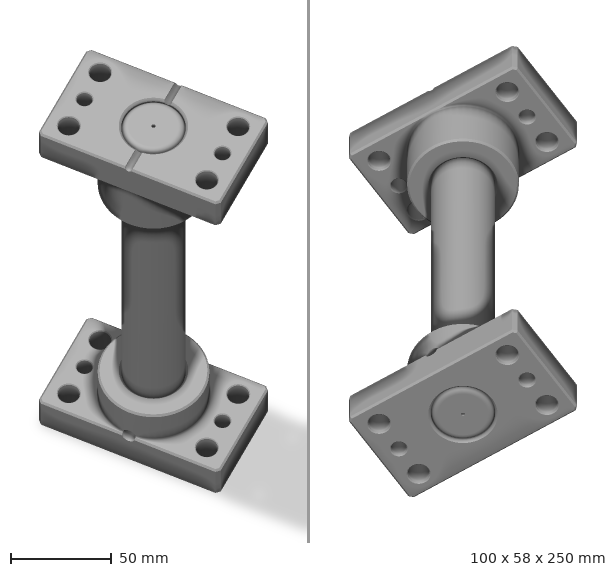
import cadquery as cq

total_height = 250.0
flange_length = 100.0
flange_width = 58.0
flange_thickness = 20.0
corner_chamfer = 2.0
edge_chamfer = 1.0

hub_diameter = 55.5
hub_root_fillet = 1.0
hub_rim_chamfer = 1.0
lower_hub_height = 20.0
upper_hub_height = 30.0

pillar_diameter = 32.0
pillar_end_fillet = 3.5
center_hole_diameter = 2.0
center_hole_depth = 2.5
bore_chamfer = 1.3

bolt_diameter = 11.0
bolt_x = 38.0
bolt_y = 18.0
dowel_diameter = 8.0
mount_hole_chamfer = 0.5

radial_hole_diameter = 7.0
vent_groove_diameter = 4.0


def y_cylinder(diameter, z):
    """Cylinder along Y at height z, long enough to cross the flange."""
    section = cq.Plane(origin=(0, 0, z), xDir=(0, 0, 1), normal=(0, 1, 0))
    return cq.Workplane(section).circle(diameter / 2).extrude(flange_width, both=True)


def chamfered_hole(diameter, depth, chamfer):
    """Cutter for a through hole that starts on Z = 0 and is chamfered at both mouths."""
    radius = diameter / 2
    half_profile = [
        (0, 0),
        (radius + chamfer, 0),
        (radius, chamfer),
        (radius, depth - chamfer),
        (radius + chamfer, depth),
        (0, depth),
    ]
    return cq.Workplane("XZ").polyline(half_profile).close().revolve(360, (0, 0), (0, 1))


def flanged_holder(hub_height):
    """Flange on Z = 0 with a hub above it, a pillar bore and mounting holes."""
    flange = (
        cq.Workplane("XY")
        .rect(flange_length, flange_width)
        .extrude(flange_thickness)
        .edges("|Z")
        .chamfer(corner_chamfer)
        .faces("<Z or >Z")
        .chamfer(edge_chamfer)
    )

    hub_top = flange_thickness + hub_height
    hub = (
        cq.Workplane("XY")
        .circle(hub_diameter / 2)
        .extrude(hub_top)
        .faces(">Z")
        .chamfer(hub_rim_chamfer)
    )
    root_probe = hub_root_fillet / 2
    root_zone = cq.selectors.BoxSelector(
        (-hub_diameter, -hub_diameter, flange_thickness - root_probe),
        (hub_diameter, hub_diameter, flange_thickness + root_probe),
    )
    holder = flange.union(hub).edges(root_zone).edges("%CIRCLE").fillet(hub_root_fillet)

    holder = holder.cut(chamfered_hole(pillar_diameter, hub_top, bore_chamfer))

    bolt_places = [(x, y) for x in (-bolt_x, bolt_x) for y in (-bolt_y, bolt_y)]
    dowel_places = [(-bolt_x, 0), (bolt_x, 0)]
    bolt_hole = chamfered_hole(bolt_diameter, flange_thickness, mount_hole_chamfer)
    dowel_hole = chamfered_hole(dowel_diameter, flange_thickness, mount_hole_chamfer)
    for x, y in bolt_places:
        holder = holder.cut(bolt_hole.translate((x, y, 0)))
    for x, y in dowel_places:
        holder = holder.cut(dowel_hole.translate((x, y, 0)))
    return holder


def lower_holder():
    """Holder at the bottom with two radial holes that run in from the Y sides to the bore."""
    return flanged_holder(lower_hub_height).cut(y_cylinder(radial_hole_diameter, flange_thickness))


def upper_holder():
    """Inverted holder at the top with a round-bottomed groove across its outer face."""
    inverted = flanged_holder(upper_hub_height).mirror("XY").translate((0, 0, total_height))
    return inverted.cut(y_cylinder(vent_groove_diameter, total_height))


def guide_pillar():
    """Full-height pillar with rounded ends and a small center hole in each end."""
    pillar = (
        cq.Workplane("XY")
        .circle(pillar_diameter / 2)
        .extrude(total_height)
        .faces("<Z or >Z")
        .edges()
        .fillet(pillar_end_fillet)
    )
    center_hole = cq.Workplane("XY").circle(center_hole_diameter / 2).extrude(center_hole_depth)
    pillar = pillar.cut(center_hole)
    return pillar.cut(center_hole.translate((0, 0, total_height - center_hole_depth)))


lower = lower_holder()
upper = upper_holder()
pillar = guide_pillar()

result = cq.Compound.makeCompound([lower.solids().val(), upper.solids().val(), pillar.solids().val()])